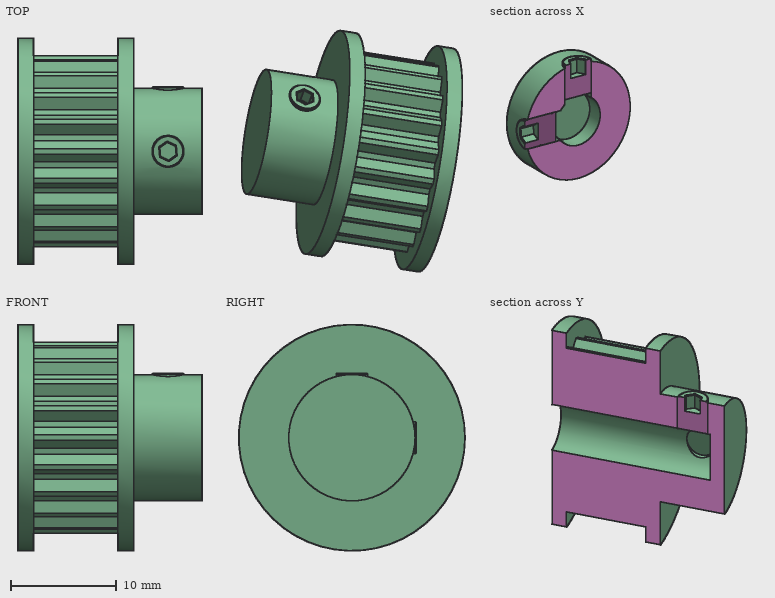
import cadquery as cq
import math


flange_width = 1.5
belt_width = 8.0
hub_length = 6.5
far_flange_start = flange_width + belt_width
hub_start = far_flange_start + flange_width
pulley_length = hub_start + hub_length

flange_diameter = 21.5
hub_diameter = 12.0
bore_diameter = 5.0

bore_depth = pulley_length - flange_width

tooth_count = 20
tip_radius = 9.07
root_radius = 8.15
tip_width = 0.52
root_width = 0.58
tooth_pitch_angle = 2 * math.pi / tooth_count

screw_diameter = 3.0
screw_top_radius = hub_diameter / 2 + 0.1
screw_tip_radius = bore_diameter / 2
screw_length = screw_top_radius - screw_tip_radius
screw_chamfer = 0.09
screw_position = hub_start + hub_length / 2
socket_corner_diameter = 1.72
socket_depth = 1.5
socket_twist = 5.0
screw_directions = (0, -90)


def disc(start, length, diameter):
    """Cylinder about the X axis."""
    return cq.Workplane("YZ", origin=(start, 0, 0)).circle(diameter / 2).extrude(length)


def polar(radius, angle):
    """Point in the YZ plane."""
    return (radius * math.cos(angle), radius * math.sin(angle))


def toothed_rim():
    """Straight-sided teeth with rounded tips and flat gaps, one tooth centred on +Y."""
    tip_half_angle = math.asin(tip_width / 2 / tip_radius)
    root_half_angle = math.atan(root_width / 2 / root_radius)
    root_corner_radius = math.hypot(root_radius, root_width / 2)

    outline = cq.Workplane("YZ", origin=(flange_width, 0, 0))
    outline = outline.moveTo(*polar(tip_radius, -tip_half_angle))
    for tooth in range(tooth_count):
        tooth_angle = tooth * tooth_pitch_angle
        gap_angle = tooth_angle + tooth_pitch_angle / 2
        next_tooth_angle = tooth_angle + tooth_pitch_angle
        outline = outline.threePointArc(
            polar(tip_radius, tooth_angle),
            polar(tip_radius, tooth_angle + tip_half_angle),
        )
        outline = outline.lineTo(*polar(root_corner_radius, gap_angle - root_half_angle))
        outline = outline.lineTo(*polar(root_corner_radius, gap_angle + root_half_angle))
        if tooth < tooth_count - 1:
            outline = outline.lineTo(*polar(tip_radius, next_tooth_angle - tip_half_angle))
    return outline.close().extrude(belt_width)


def place_in_hub(shape, direction):
    """Turn a shape built along +Z to its direction about the pulley axis."""
    return shape.rotate((0, 0, 0), (1, 0, 0), direction)


def screw_hole():
    """Radial hole from the pulley axis out through the hub wall."""
    return (
        cq.Workplane("XY", origin=(screw_position, 0, 0))
        .circle(screw_diameter / 2)
        .extrude(screw_top_radius)
    )


def make_pulley():
    pulley = (
        disc(0, flange_width, flange_diameter)
        .union(toothed_rim())
        .union(disc(far_flange_start, flange_width, flange_diameter))
        .union(disc(hub_start, hub_length, hub_diameter))
    )
    for direction in screw_directions:
        pulley = pulley.cut(place_in_hub(screw_hole(), direction))
    return pulley.cut(disc(0, bore_depth, bore_diameter))


def make_set_screw(direction):
    """Headless screw with a hexagon socket, chamfered at the top rim and socket mouth."""
    body = (
        cq.Workplane("XY", origin=(screw_position, 0, screw_tip_radius))
        .circle(screw_diameter / 2)
        .extrude(screw_length)
    )
    socket = (
        cq.Workplane("XY", origin=(screw_position, 0, screw_top_radius))
        .transformed(rotate=(0, 0, 90 + socket_twist))
        .polygon(6, socket_corner_diameter)
        .extrude(-socket_depth)
    )
    screw = body.cut(socket).faces(">Z").edges().chamfer(screw_chamfer)
    return place_in_hub(screw, direction)


pulley = make_pulley()
set_screws = [make_set_screw(direction) for direction in screw_directions]

result = cq.Compound.makeCompound([*pulley.solids().vals(), *[screw.solids().val() for screw in set_screws]])